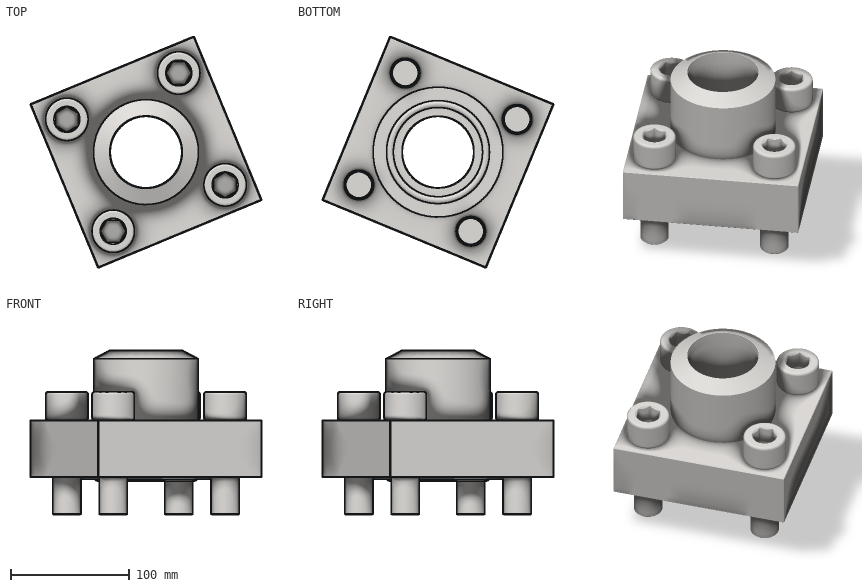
import cadquery as cq
import math

overall_width = 195.6
plate_angle = 22.5
edge_chamfer = 0.5

sin_angle = math.sin(math.radians(plate_angle))
cos_angle = math.cos(math.radians(plate_angle))
plate_side = (overall_width + 2 * edge_chamfer * sin_angle) / (sin_angle + cos_angle)

flange_height = 50.0
raised_face_height = 2.0
raised_face_diameter = 110.0
neck_height = 59.0
neck_diameter = 88.8
bore_diameter = 60.5
weld_land_width = 0.5
weld_bevel_height = 7.2

seal_groove_outer_diameter = 87.3
seal_groove_inner_diameter = 75.5
seal_protrusion = 1.4
seal_section_diameter = (seal_groove_outer_diameter - seal_groove_inner_diameter) / 2
seal_center_diameter = (seal_groove_outer_diameter + seal_groove_inner_diameter) / 2
seal_groove_depth = seal_section_diameter - seal_protrusion

bolt_count = 4
bolt_circle_diameter = 145.0
bolt_circle_radius = bolt_circle_diameter / 2
first_bolt_angle = plate_angle + 45.0
bolt_hole_diameter = 25.0
shank_diameter = 24.0
shank_length = 80.0
shank_tip_chamfer = 1.0
head_diameter = 36.0
head_height = shank_diameter
head_edge_fillet = 2.3
socket_corner_diameter = 22.0
socket_depth = 15.0
socket_countersink_angle = 45.0


def make_flange():
    """Square plate with raised face, beveled weld neck, bore, bolt holes and seal groove."""
    plate = (
        cq.Workplane("XY", origin=(0, 0, raised_face_height))
        .rect(plate_side, plate_side)
        .extrude(flange_height - raised_face_height)
        .edges()
        .chamfer(edge_chamfer)
        .rotate((0, 0, 0), (0, 0, 1), plate_angle)
    )
    raised_face = cq.Workplane("XY").circle(raised_face_diameter / 2).extrude(flange_height / 2)

    neck_top = flange_height + neck_height
    neck = (
        cq.Workplane("XZ")
        .moveTo(0, flange_height / 2)
        .lineTo(neck_diameter / 2, flange_height / 2)
        .lineTo(neck_diameter / 2, neck_top - weld_bevel_height)
        .lineTo(bore_diameter / 2 + weld_land_width, neck_top)
        .lineTo(0, neck_top)
        .close()
        .revolve(360, (0, 0, 0), (0, 1, 0))
    )
    bore = cq.Workplane("XY").circle(bore_diameter / 2).extrude(neck_top)
    bolt_holes = (
        cq.Workplane("XY")
        .polarArray(bolt_circle_radius, first_bolt_angle, 360, bolt_count)
        .circle(bolt_hole_diameter / 2)
        .extrude(flange_height)
    )
    seal_groove = (
        cq.Workplane("XY")
        .circle(seal_groove_outer_diameter / 2)
        .circle(seal_groove_inner_diameter / 2)
        .extrude(seal_groove_depth)
    )
    return plate.union(raised_face).union(neck).cut(bore).cut(bolt_holes).cut(seal_groove)


def make_seal_ring():
    """Round-section ring that touches the groove walls and floor and stands proud of the face."""
    section_center_height = seal_groove_depth - seal_section_diameter / 2
    return (
        cq.Workplane("XZ")
        .center(seal_center_diameter / 2, section_center_height)
        .circle(seal_section_diameter / 2)
        .revolve(360, (-seal_center_diameter / 2, 0, 0), (-seal_center_diameter / 2, 1, 0))
    )


def make_socket():
    """Hexagonal pocket with a countersunk mouth, cut down from the top of the bolt head."""
    hexagon = (
        cq.Workplane("XY", origin=(0, 0, head_height - socket_depth))
        .polygon(6, socket_corner_diameter)
        .extrude(socket_depth)
    )
    mouth_radius = socket_corner_diameter / 2
    cone_depth = mouth_radius * math.tan(math.radians(socket_countersink_angle))
    countersink = (
        cq.Workplane("XZ")
        .moveTo(0, head_height)
        .lineTo(mouth_radius, head_height)
        .lineTo(0, head_height - cone_depth)
        .close()
        .revolve(360, (0, 0, 0), (0, 1, 0))
    )
    return hexagon.union(countersink)


def make_bolt(angle):
    """Socket head bolt seated on the plate top, at the given angle around the bolt circle."""
    head = (
        cq.Workplane("XY")
        .circle(head_diameter / 2)
        .extrude(head_height)
        .edges()
        .fillet(head_edge_fillet)
    )
    shank = (
        cq.Workplane("XY")
        .circle(shank_diameter / 2)
        .extrude(-shank_length)
        .faces("<Z")
        .chamfer(shank_tip_chamfer)
    )
    return (
        head.union(shank)
        .cut(make_socket())
        .rotate((0, 0, 0), (0, 0, 1), angle - first_bolt_angle)
        .translate((
            bolt_circle_radius * math.cos(math.radians(angle)),
            bolt_circle_radius * math.sin(math.radians(angle)),
            flange_height,
        ))
    )


flange = make_flange()
seal_ring = make_seal_ring()
bolts = [make_bolt(first_bolt_angle + index * 360 / bolt_count) for index in range(bolt_count)]

result = cq.Compound.makeCompound([
    flange.val(),
    seal_ring.val(),
    *[bolt.val() for bolt in bolts],
])